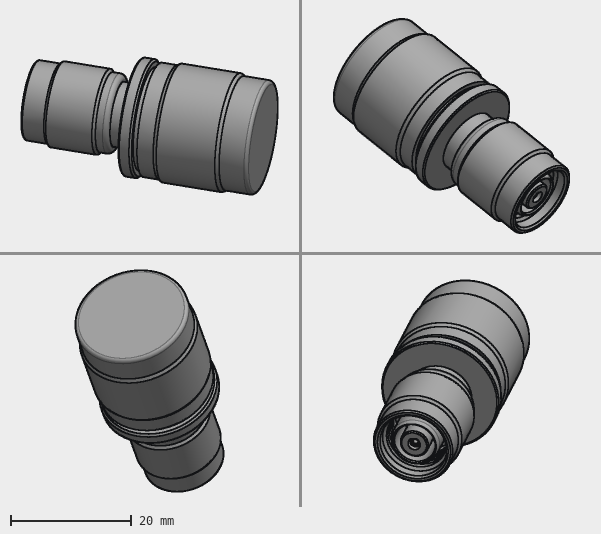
import cadquery as cq
import math

length = 39.8

small_nut_radius = 6.75
small_nut_length = 15.0
small_nut_front_chamfer = 0.28
small_nut_back_round = 0.95
small_grip_radius = 7.25
small_grip_start = 3.98
small_grip_end = 12.85
small_grip_bevel = small_grip_radius - small_nut_radius

neck_radius = 5.5
flange_diameter = 20.0
flange_radius = flange_diameter / 2
flange_start = 17.65
flange_end = 19.9
flange_front_chamfer = 0.25
flange_back_chamfer = 0.35
groove_radius = 8.7

large_nut_radius = 9.65
large_nut_start = 20.8
large_nut_round = 0.65
large_grip_radius = flange_radius
large_grip_start = 23.6
large_grip_end = 34.95
large_grip_bevel_length = 0.65

mouth_radius = 6.05
mouth_chamfer = 0.35
thread_root_radius = mouth_radius - mouth_chamfer
thread_crest_radius = 5.15
thread_start = 1.95
thread_pitch = 0.9
thread_ridges = 6
socket_depth = 9.95

sleeve_radius = 4.1
sleeve_nose_radius = 3.75
sleeve_mouth_radius = 3.65
sleeve_mouth_length = 0.35
sleeve_bore_radius = 3.5
sleeve_front = 1.05
sleeve_nose_length = 0.8

collar_radius = sleeve_bore_radius
collar_front = 7.95
collar_chamfer = 0.25
core_radius = 2.4
core_front = 0.88
core_chamfer = 0.25

contact_hole_radius = 1.05
contact_radius = 0.9
contact_front = 1.67
contact_hole_end = 3.98
pin_hole_radius = 0.45
pin_hole_countersink = 0.2
pin_hole_depth = 1.6
pin_hole_cone_length = 0.45


def cylinder(start, end, radius):
    """Solid cylinder on the X axis between two x positions."""
    return cq.Workplane("YZ").workplane(offset=start).circle(radius).extrude(end - start)


def revolved(points):
    """Solid turned about the X axis from a closed (x, radius) outline."""
    return cq.Workplane("XY").polyline(points).close().revolve(360, (0, 0, 0), (1, 0, 0))


def grip_band(start, end, radius, base_radius, bevel_length):
    """Raised band whose two ends slope down to the surface that carries it."""
    return revolved([
        (start, 0),
        (start, base_radius),
        (start + bevel_length, radius),
        (end - bevel_length, radius),
        (end, base_radius),
        (end, 0),
    ])


def small_nut():
    body = cylinder(0, small_nut_length, small_nut_radius)
    body = body.faces("<X").chamfer(small_nut_front_chamfer)
    body = body.faces(">X").edges().fillet(small_nut_back_round)
    band = grip_band(small_grip_start, small_grip_end, small_grip_radius, small_nut_radius, small_grip_bevel)
    return body.union(band)


def neck_and_flange():
    neck = cylinder(small_nut_length, flange_start, neck_radius)
    flange = cylinder(flange_start, flange_end, flange_radius)
    flange = flange.faces("<X").chamfer(flange_front_chamfer)
    flange = flange.faces(">X").chamfer(flange_back_chamfer)
    groove_floor = cylinder(flange_end, large_nut_start, groove_radius)
    return neck.union(flange).union(groove_floor)


def large_nut():
    body = cylinder(large_nut_start, length, large_nut_radius)
    body = body.faces(">X").edges().fillet(large_nut_round)
    band = grip_band(
        large_grip_start, large_grip_end, large_grip_radius, large_nut_radius, large_grip_bevel_length
    )
    return body.union(band)


def socket():
    """Cavity of the small nut; its wall carries V-shaped ridges, built as closed rings."""
    outline = [
        (0, 0),
        (0, mouth_radius),
        (mouth_chamfer, thread_root_radius),
    ]
    for ridge in range(thread_ridges):
        ridge_start = thread_start + ridge * thread_pitch
        outline.append((ridge_start, thread_root_radius))
        outline.append((ridge_start + thread_pitch / 2, thread_crest_radius))
    thread_end = thread_start + thread_ridges * thread_pitch
    outline += [
        (thread_end, thread_root_radius),
        (socket_depth, thread_root_radius),
        (socket_depth, 0),
    ]
    return revolved(outline)


def contact_sleeve():
    nose_height = sleeve_radius - sleeve_nose_radius
    nose_end = sleeve_front + sleeve_nose_length
    arc_radius = (sleeve_nose_length**2 + nose_height**2) / (2 * nose_height)
    half_angle = math.asin(sleeve_nose_length / arc_radius) / 2
    arc_middle = (
        nose_end - arc_radius * math.sin(half_angle),
        sleeve_radius - arc_radius * (1 - math.cos(half_angle)),
    )
    outline = (
        cq.Workplane("XY")
        .moveTo(sleeve_front + sleeve_mouth_length, sleeve_bore_radius)
        .lineTo(sleeve_front, sleeve_mouth_radius)
        .lineTo(sleeve_front, sleeve_nose_radius)
        .threePointArc(arc_middle, (nose_end, sleeve_radius))
        .lineTo(socket_depth, sleeve_radius)
        .lineTo(socket_depth, sleeve_bore_radius)
        .close()
    )
    return outline.revolve(360, (0, 0, 0), (1, 0, 0))


def insulator():
    collar = cylinder(collar_front, socket_depth, collar_radius)
    collar = collar.faces("<X").chamfer(collar_chamfer)
    core = cylinder(core_front, socket_depth, core_radius)
    core = core.faces("<X").chamfer(core_chamfer)
    contact_hole = cylinder(core_front, contact_hole_end, contact_hole_radius)
    return collar.union(core).cut(contact_hole)


def centre_contact():
    pin_hole_end = contact_front + pin_hole_depth
    pin_hole = revolved([
        (contact_front, 0),
        (contact_front, pin_hole_radius + pin_hole_countersink),
        (contact_front + pin_hole_countersink, pin_hole_radius),
        (pin_hole_end, pin_hole_radius),
        (pin_hole_end + pin_hole_cone_length, 0),
    ])
    return cylinder(contact_front, contact_hole_end, contact_radius).cut(pin_hole)


outside = small_nut().union(neck_and_flange()).union(large_nut())
inside = contact_sleeve().union(insulator()).union(centre_contact())
result = outside.cut(socket()).union(inside)